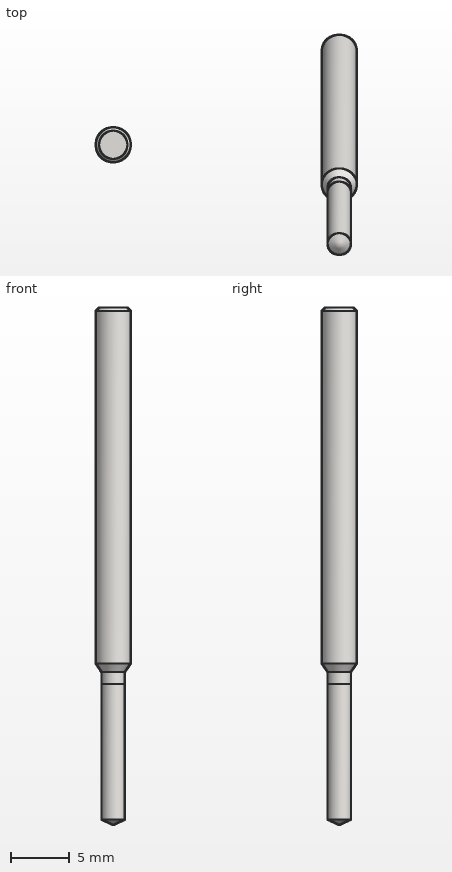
import cadquery as cq
import math

overall_length = 44.0
shank_radius = 1.5
cutter_radius = 1.0

joint_height = 12.0
neck_length = 1.0
shoulder_length = 0.75
end_chamfer = 0.3

point_angle = 130.0
point_length = cutter_radius / math.tan(math.radians(point_angle / 2))


def make_shank():
    """Round shank with a chamfered top end, tapering to a neck at the cutter joint."""
    shoulder_bottom = joint_height + neck_length
    shoulder_top = shoulder_bottom + shoulder_length
    return (
        cq.Workplane("XZ")
        .moveTo(0, joint_height)
        .lineTo(cutter_radius, joint_height)
        .lineTo(cutter_radius, shoulder_bottom)
        .lineTo(shank_radius, shoulder_top)
        .lineTo(shank_radius, overall_length - end_chamfer)
        .lineTo(shank_radius - end_chamfer, overall_length)
        .lineTo(0, overall_length)
        .close()
        .revolve(360, (0, 0), (0, 1))
    )


def make_cutter():
    """Plain cylindrical cutter with a conical point, butted against the neck."""
    return (
        cq.Workplane("XZ")
        .lineTo(cutter_radius, point_length)
        .lineTo(cutter_radius, joint_height)
        .lineTo(0, joint_height)
        .close()
        .revolve(360, (0, 0), (0, 1))
    )


shank = make_shank()
cutter = make_cutter()

result = cq.Compound.makeCompound([shank.val(), cutter.val()])